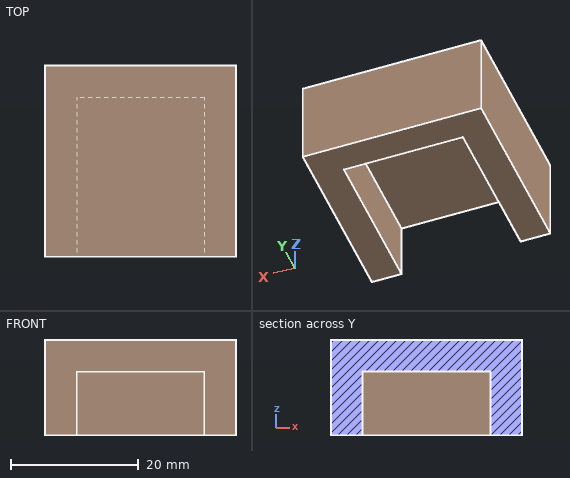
import cadquery as cq

side = 30.0
height = side / 2
wall = side / 6

pocket_width = side - 2 * wall
pocket_depth = side - wall
pocket_height = height - wall

block = cq.Workplane("XY").box(side, side, height, centered=(True, False, False))
pocket = cq.Workplane("XY").box(
    pocket_width, pocket_depth, pocket_height, centered=(True, False, False)
)

result = block.cut(pocket).translate((0, -side / 2, 0))